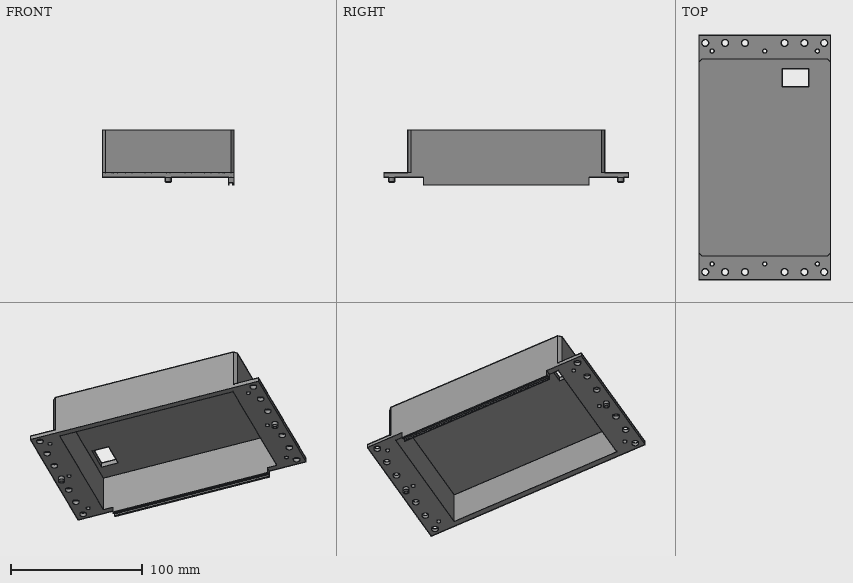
import cadquery as cq

plate_width = 100.0
plate_length = 186.0
plate_thickness = 3.5

cover_length = 150.0
cover_height = 32.5
corner_chamfer = 2.5
wall = 4.3
top_z = plate_thickness + cover_height

window_width = 19.9
window_length = 13.4
window_x = 23.5
window_y = 60.6

mount_hole_diameter = 5.0
mount_hole_pitch = 15.0
mount_hole_y = 87.0
screw_hole_diameter = 3.0
screw_hole_spacing = 40.0
screw_hole_y = 81.0

pin_diameter = 4.6
pin_length = 4.0
pin_chamfer = 1.0

rail_width = 4.3
rail_length = 126.0
rail_height = 6.0
groove_depth = 1.7
inner_lip = 0.5
outer_lip = 1.1


def block(width, length, bottom_z, height, x=0, y=0):
    """Box centred on (x, y) that rises from bottom_z."""
    return (
        cq.Workplane("XY", origin=(x, y, bottom_z))
        .rect(width, length)
        .extrude(height)
    )


def flange_holes(x_positions, y, diameter):
    """Matching rows of through holes in the two flanges."""
    points = [(x, side * y) for side in (-1, 1) for x in x_positions]
    return (
        cq.Workplane("XY")
        .pushPoints(points)
        .circle(diameter / 2)
        .extrude(plate_thickness)
    )


def locating_pin(y):
    """Pin hanging from the plate, with a chamfered tip."""
    return (
        cq.Workplane("XY", origin=(0, y, 0))
        .circle(pin_diameter / 2)
        .extrude(-pin_length)
        .faces("<Z")
        .chamfer(pin_chamfer)
    )


def edge_rail():
    """Rail flush with the +X side, grooved along its underside."""
    outer_x = plate_width / 2
    rail = block(rail_width, rail_length, -rail_height, rail_height, outer_x - rail_width / 2)
    groove_width = rail_width - inner_lip - outer_lip
    groove_x = outer_x - outer_lip - groove_width / 2
    groove = block(groove_width, rail_length, -rail_height, groove_depth, groove_x)
    return rail.cut(groove)


body = block(plate_width, plate_length, 0, plate_thickness)
cover = block(plate_width, cover_length, plate_thickness, cover_height)
body = body.union(cover.edges("|Z").chamfer(corner_chamfer))

body = body.cut(block(plate_width - 2 * wall, cover_length - 2 * wall, 0, top_z - wall))
body = body.cut(block(window_width, window_length, top_z - wall, wall, window_x, window_y))

mount_hole_xs = [step * mount_hole_pitch for step in (-3, -2, -1, 1, 2, 3)]
screw_hole_xs = [-screw_hole_spacing, 0, screw_hole_spacing]
body = body.cut(flange_holes(mount_hole_xs, mount_hole_y, mount_hole_diameter))
body = body.cut(flange_holes(screw_hole_xs, screw_hole_y, screw_hole_diameter))

for pin_y in (-mount_hole_y, mount_hole_y):
    body = body.union(locating_pin(pin_y))
result = body.union(edge_rail())